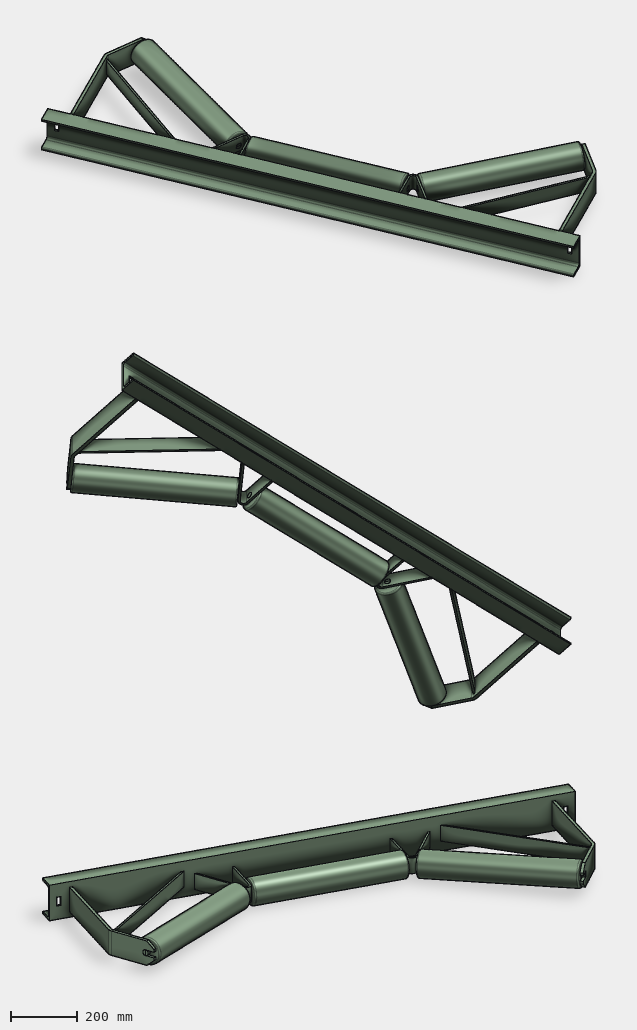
import cadquery as cq
import math

beam_length = 1700.0
beam_height = 119.0
beam_depth = 55.0
web_thickness = 7.0
flange_thickness = 8.0
root_radius = 8.0
toe_radius = 3.0
slot_width = 14.0
slot_height = 29.0
slot_end_distance = 30.0

roller_length = 500.0
roller_radius = 45.0
rim_radius = 5.0
axle_radius = 9.4
end_gap = 2.0
roller_drop = 20.0
middle_axis_y = 115.0
wing_angle = 35.0
wing_start_x = 292.0
wing_start_y = 130.0

outer_height = 82.0
inner_height = 53.0
inner_thickness = 7.0
inner_fold_radius = 10.0
outer_thickness = 10.0
outer_fold_radius = 14.0
outer_leg_x = 775.0
outer_tip_rise = 30.0
tip_chamfer_rise = 25.0
tip_chamfer_height = 22.0
strut_thickness = 7.0
strut_height = 53.0
strut_foot_x = 415.0

wing_cos = math.cos(math.radians(wing_angle))
wing_sin = math.sin(math.radians(wing_angle))
climb = math.asin(roller_drop / roller_length)

middle_frame = cq.Plane(
    origin=(-roller_length / 2, middle_axis_y, -roller_drop), xDir=(0, 1, 0), normal=(1, 0, 0)
)
wing_frame = cq.Plane(
    origin=(wing_start_x, wing_start_y, -roller_drop),
    xDir=(-wing_sin, wing_cos, 0),
    normal=(wing_cos * math.cos(climb), wing_sin * math.cos(climb), math.sin(climb)),
)


def wing_point(along, rise):
    """XY point at a distance along the outer roller and a rise square to it."""
    x = wing_start_x + along * wing_cos - rise * wing_sin
    y = wing_start_y + along * wing_sin + rise * wing_cos
    return x, y


def wing_line_at_x(along, x):
    """Point at the given X on the line that crosses the outer roller at a distance along it."""
    rise = (wing_start_x + along * wing_cos - x) / wing_sin
    return wing_point(along, rise)


def wing_line_at_beam(along):
    """Point where the line that crosses the outer roller meets the beam's back."""
    rise = -(wing_start_y + along * wing_sin) / wing_cos
    return wing_point(along, rise)


def upright(points, height):
    """Prism over an XY outline, centred on Z = 0."""
    return cq.Workplane("XY").polyline(points).close().extrude(height / 2, both=True)


def edge_near(xy, z=0):
    """Selects the edge whose middle is nearest to a point."""
    return cq.selectors.NearestToPointSelector((*xy, z))


def make_beam():
    half = beam_height / 2
    inside = half - flange_thickness
    beam = (
        cq.Workplane("YZ")
        .polyline([
            (0, -half), (0, half), (-beam_depth, half), (-beam_depth, inside),
            (-web_thickness, inside), (-web_thickness, -inside),
            (-beam_depth, -inside), (-beam_depth, -half),
        ])
        .close()
        .extrude(beam_length / 2, both=True)
    )
    for side in (-1, 1):
        beam = beam.edges(edge_near((0, -web_thickness), side * inside)).fillet(root_radius)
        beam = beam.edges(edge_near((0, -beam_depth), side * inside)).fillet(toe_radius)
    slot_spacing = beam_length - 2 * slot_end_distance
    slots = (
        cq.Workplane("XZ")
        .rarray(slot_spacing, 17, 2, 1)
        .rect(slot_width, slot_height)
        .extrude(beam_depth)
    )
    return beam.cut(slots)


def make_axle(frame, near_stub, far_stub):
    return (
        cq.Workplane(frame)
        .workplane(offset=-near_stub)
        .circle(axle_radius)
        .extrude(roller_length + near_stub + far_stub)
    )


def make_roller(frame, near_stub, far_stub):
    barrel = (
        cq.Workplane(frame)
        .circle(roller_radius)
        .extrude(roller_length)
        .edges("%CIRCLE")
        .fillet(rim_radius)
    )
    return barrel.union(make_axle(frame, near_stub, far_stub))


def make_inner_bracket():
    near_x = roller_length / 2 + end_gap
    far_x = near_x + inner_thickness
    near_along = -end_gap
    far_along = near_along - inner_thickness
    outside = upright(
        [(near_x, 0), wing_line_at_beam(near_along), wing_line_at_x(near_along, near_x)], inner_height
    )
    outside = outside.edges("|Z and >Y").fillet(inner_fold_radius + inner_thickness)
    inside = upright(
        [(far_x, 0), wing_line_at_beam(far_along), wing_line_at_x(far_along, far_x)], inner_height
    )
    inside = inside.edges("|Z and >Y").fillet(inner_fold_radius)
    bracket = outside.cut(inside).translate((0, 0, (inner_height - outer_height) / 2))
    return bracket.cut(middle_axle).cut(wing_axle)


def make_outer_bracket():
    near_x = outer_leg_x
    far_x = near_x + outer_thickness
    near_along = roller_length + end_gap
    far_along = near_along + outer_thickness
    near_fold = wing_line_at_x(near_along, near_x)
    far_fold = wing_line_at_x(far_along, far_x)
    bracket = upright(
        [
            (near_x, 0), (far_x, 0), far_fold,
            wing_point(far_along, outer_tip_rise), wing_point(near_along, outer_tip_rise), near_fold,
        ],
        outer_height,
    )
    bracket = bracket.edges(edge_near(near_fold)).fillet(outer_fold_radius)
    bracket = bracket.edges(edge_near(far_fold)).fillet(outer_fold_radius + outer_thickness)
    half = outer_height / 2
    tip_frame = cq.Plane(
        origin=(*wing_point(near_along, outer_tip_rise), 0),
        xDir=(-wing_sin, wing_cos, 0),
        normal=(wing_cos, wing_sin, 0),
    )
    for side in (-1, 1):
        corner = (
            cq.Workplane(tip_frame)
            .polyline([
                (0, side * half), (-tip_chamfer_rise, side * half), (0, side * (half - tip_chamfer_height)),
            ])
            .close()
            .extrude(outer_thickness)
        )
        bracket = bracket.cut(corner)
    slot = (
        cq.Workplane(wing_frame)
        .workplane(offset=roller_length)
        .center(outer_tip_rise, 0)
        .rect(2 * outer_tip_rise, 2 * axle_radius)
        .extrude(2 * outer_thickness)
    )
    return bracket.cut(slot).cut(wing_axle)


def make_strut():
    fold_x, fold_y = wing_line_at_x(roller_length + end_gap, outer_leg_x)
    top_x = outer_leg_x + outer_thickness / 2
    slope = math.atan2(fold_y, fold_x - strut_foot_x)
    top_y = (top_x - strut_foot_x) * math.tan(slope)
    shift_y = strut_thickness / math.cos(slope)
    shift_x = strut_thickness / math.sin(slope)
    strut = upright(
        [(strut_foot_x, 0), (strut_foot_x + shift_x, 0), (top_x, top_y - shift_y), (top_x, top_y)],
        strut_height,
    )
    return strut.cut(outer_bracket)


inner_stub = end_gap + inner_thickness
outer_stub = end_gap + outer_thickness
middle_axle = make_axle(middle_frame, inner_stub, inner_stub)
wing_axle = make_axle(wing_frame, inner_stub, outer_stub)

beam = make_beam()
middle_roller = make_roller(middle_frame, inner_stub, inner_stub)
wing_roller = make_roller(wing_frame, inner_stub, outer_stub)
inner_bracket = make_inner_bracket()
outer_bracket = make_outer_bracket()
strut = make_strut()

solids = [beam.val(), middle_roller.val()]
for body in (wing_roller, inner_bracket, outer_bracket, strut):
    solids.append(body.val())
    solids.append(body.mirror("YZ").val())

result = cq.Compound.makeCompound(solids)